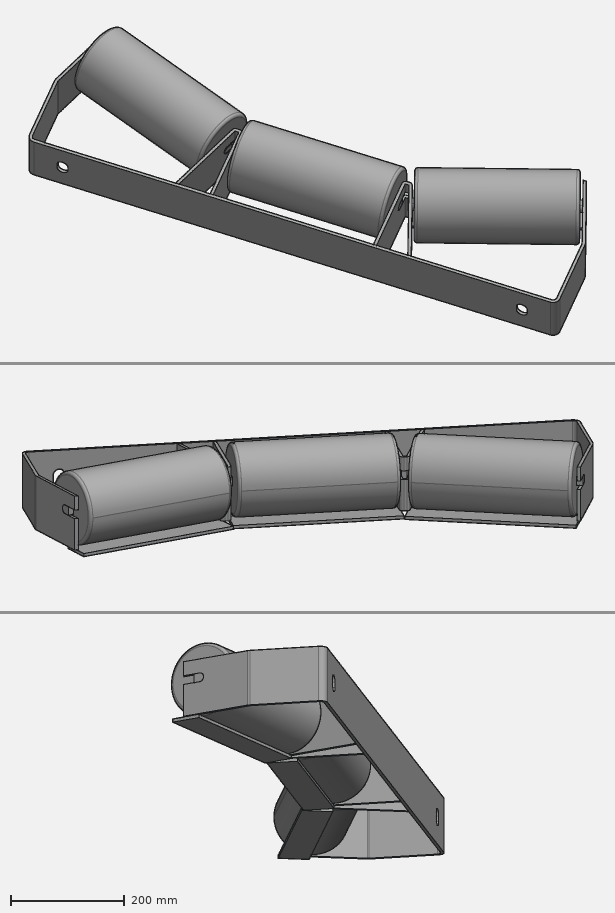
import cadquery as cq
import math


sheet = 6.0
strip_height = 100.0
tilt = 20.0
tilt_cos = math.cos(math.radians(tilt))
tilt_tan = math.tan(math.radians(tilt))

frame_length = 1000.0
half_length = frame_length / 2
corner_radius = 13.0
knee_y = 139.0
wing_top_y = 267.0
mount_hole_x = 433.0
mount_hole_width = 20.0
mount_hole_height = 30.0

wall_inner_x = 151.0
wall_outer_x = wall_inner_x + sheet
bracket_top_y = 154.0
leg_foot_x = 222.0
bracket_bend_radius = 7.0
bracket_inner_radius = 1.0

roller_diameter = 133.0
roller_length = 292.0
roller_edge_radius = 6.0
bar_embed = 0.2
roller_axis_z = roller_diameter / 2 - bar_embed
middle_roller_y = 124.0
outer_roller_x = 317.0
outer_roller_y = 183.0
shaft_length = 2 * wall_outer_x
shaft_half_depth = 10.0
flat_width = 16.0
slot_overrun = 12.0

bar_length = 306.0
bar_offset = 2.0
bar_width = 55.0
bar_thickness = 6.0

roller_places = [
    (-outer_roller_x, outer_roller_y, -tilt),
    (0, middle_roller_y, 0),
    (outer_roller_x, outer_roller_y, tilt),
]


def place(body, x, y, angle):
    """Move a body from the origin to a roller position."""
    return body.rotate((0, 0, 0), (0, 0, 1), angle).translate((x, y, 0))


def round_bottomed_bar(length, top):
    """Bar along X on the roller axis: half-round on its -Y side, flat at Y = top."""
    radius = flat_width / 2
    arc_center_y = radius - shaft_half_depth
    return (
        cq.Workplane("YZ", origin=(-length / 2, 0, roller_axis_z))
        .moveTo(top, radius)
        .lineTo(arc_center_y, radius)
        .threePointArc((-shaft_half_depth, 0), (arc_center_y, -radius))
        .lineTo(top, -radius)
        .close()
        .extrude(length)
    )


def make_roller():
    """Roller with its shaft and the flat bar along its underside, centred on the Z axis."""
    shell = (
        cq.Workplane("YZ", origin=(-roller_length / 2, 0, roller_axis_z))
        .circle(roller_diameter / 2)
        .extrude(roller_length)
        .edges("%CIRCLE")
        .fillet(roller_edge_radius)
    )
    shaft = round_bottomed_bar(shaft_length, shaft_half_depth)
    bar = cq.Workplane("XY").box(
        bar_length, bar_width, bar_thickness, centered=(True, False, False)
    ).translate((0, bar_offset, -bar_thickness))
    return shell.union(shaft).union(bar)


def cut_shaft_slots(body):
    """Cut the open slots into which the ends of all the shafts drop."""
    slot_length = shaft_length + 2 * slot_overrun
    slot = round_bottomed_bar(slot_length, roller_diameter / 2)
    for x, y, angle in roller_places:
        body = body.cut(place(slot, x, y, angle))
    return body


def frame_outline(inset):
    """Solid prism whose back and sides lie `inset` inside the frame's outer faces."""
    side_x = half_length - inset
    knee_inset_y = knee_y - inset * math.tan(math.radians(tilt / 2))
    top_x = side_x - (wing_top_y - knee_inset_y) * tilt_tan
    radius = corner_radius - inset
    return (
        cq.Workplane("XY")
        .polyline([
            (-side_x, inset),
            (side_x, inset),
            (side_x, knee_inset_y),
            (top_x, wing_top_y),
            (-top_x, wing_top_y),
            (-side_x, knee_inset_y),
        ])
        .close()
        .extrude(strip_height)
        .edges("|Z and (not >Y)")
        .fillet(radius)
    )


def make_frame():
    """Bent strip with tilted, slotted ends and two mounting holes in its back plate."""
    frame = frame_outline(0).cut(frame_outline(sheet))
    holes = (
        cq.Workplane("XZ")
        .pushPoints([(-mount_hole_x, strip_height / 2), (mount_hole_x, strip_height / 2)])
        .slot2D(mount_hole_height, mount_hole_width, 90)
        .extrude(-sheet)
    )
    return cut_shaft_slots(frame.cut(holes))


def make_bracket():
    """Right-hand bracket: an upright wall folded over into a tilted leg."""
    leg_inner_foot_x = leg_foot_x - sheet / tilt_cos
    inner_top_y = bracket_top_y - sheet
    outside = (
        cq.Workplane("XY")
        .polyline([
            (wall_inner_x, sheet),
            (wall_inner_x, bracket_top_y),
            (leg_foot_x - (bracket_top_y - sheet) * tilt_tan, bracket_top_y),
            (leg_foot_x, sheet),
        ])
        .close()
        .extrude(strip_height)
        .edges("|Z and >Y")
        .fillet(bracket_bend_radius)
    )
    inside = (
        cq.Workplane("XY")
        .polyline([
            (wall_outer_x, sheet),
            (wall_outer_x, inner_top_y),
            (leg_inner_foot_x - (inner_top_y - sheet) * tilt_tan, inner_top_y),
            (leg_inner_foot_x, sheet),
        ])
        .close()
        .extrude(strip_height)
        .edges("|Z and >Y")
        .fillet(bracket_inner_radius)
    )
    return cut_shaft_slots(outside.cut(inside))


frame = make_frame()
right_bracket = make_bracket()
brackets = [right_bracket.mirror("YZ"), right_bracket]
rollers = [place(make_roller(), x, y, angle) for x, y, angle in roller_places]

result = cq.Compound.makeCompound([
    frame.val(),
    *[bracket.val() for bracket in brackets],
    *[roller.val() for roller in rollers],
])